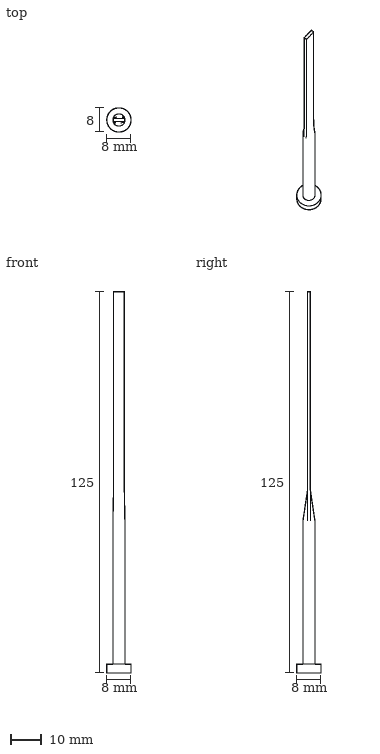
import cadquery as cq
import math

total_length = 125.0
head_diameter = 8.0
head_height = 3.0
shaft_diameter = 4.0
shaft_top = 50.0
blade_start = 60.0
blade_width = 3.6
blade_thickness = 1.0

shaft_radius = shaft_diameter / 2
half_width = blade_width / 2
half_thickness = blade_thickness / 2


def round_section(z):
    """Shaft circle split into four arcs, one for each side of the blade."""
    corner_x = math.sqrt(shaft_radius**2 - half_thickness**2)
    return (
        cq.Workplane("XY", origin=(0, 0, z))
        .moveTo(-corner_x, -half_thickness)
        .threePointArc((0, -shaft_radius), (corner_x, -half_thickness))
        .threePointArc((shaft_radius, 0), (corner_x, half_thickness))
        .threePointArc((0, shaft_radius), (-corner_x, half_thickness))
        .threePointArc((-shaft_radius, 0), (-corner_x, -half_thickness))
        .close()
        .wire()
        .val()
    )


def blade_section(z):
    """Rectangle whose corners match the arc ends of the round section."""
    return (
        cq.Workplane("XY", origin=(0, 0, z))
        .moveTo(-half_width, -half_thickness)
        .lineTo(half_width, -half_thickness)
        .lineTo(half_width, half_thickness)
        .lineTo(-half_width, half_thickness)
        .close()
        .val()
    )


head = cq.Workplane("XY").circle(head_diameter / 2).extrude(head_height)
shaft = cq.Workplane("XY").circle(shaft_radius).extrude(shaft_top)

transition_sections = [round_section(shaft_top), blade_section(blade_start)]
transition = cq.Workplane(cq.Solid.makeLoft(transition_sections, ruled=True))

blade = (
    cq.Workplane("XY", origin=(0, 0, blade_start))
    .rect(blade_width, blade_thickness)
    .extrude(total_length - blade_start)
)

result = head.union(shaft).union(transition).union(blade)